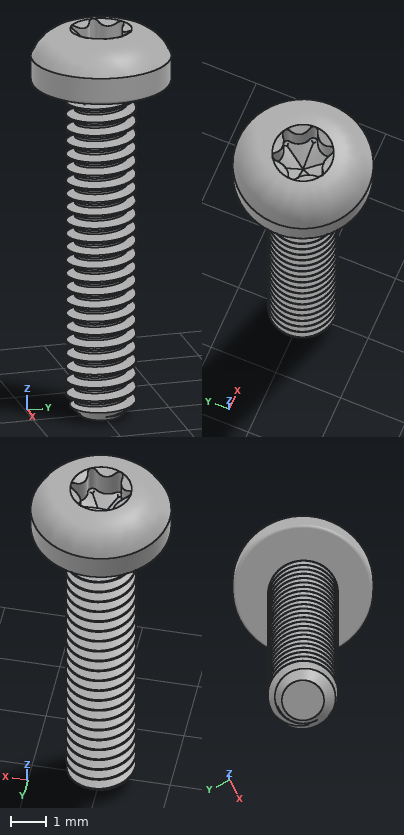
import cadquery as cq
import math

HEAD_RADIUS = 2.0
HEAD_HEIGHT = 1.6
RIM_HEIGHT = 0.8
RIM_FILLET = 0.1
DOME_ARC_RADIUS = 1.25

THREAD_RADIUS = 1.0
PITCH = 0.4
SHANK_LENGTH = 10.0
TIP_RADIUS = 0.6
FLANK_HALF_ANGLE = math.radians(30)
THREAD_START_ANGLE = 66.0

LOBES = 6
LOBE_TIP_RADIUS = 0.875
FLUTE_PEAK_RADIUS = 0.635
LOBE_ARC_RADIUS = 0.132
SOCKET_WALL_DEPTH = 0.83
SOCKET_FLOOR_SLOPE = math.radians(30)
COUNTERSINK_SLOPE = math.radians(30)

TRIANGLE_HEIGHT = PITCH / 2 / math.tan(FLANK_HALF_ANGLE)
THREAD_DEPTH = TRIANGLE_HEIGHT * 17 / 24
ROOT_RADIUS = THREAD_RADIUS - THREAD_DEPTH
CREST_FLAT = PITCH / 8
THREAD_OVERRUN = PITCH
SHANK_OVERLAP = PITCH / 2
CUT_MARGIN = 0.01

HALF_STEP = math.pi / LOBES
LOBE_CENTRE = LOBE_TIP_RADIUS - LOBE_ARC_RADIUS
LOBE_ALONG_FLUTE = LOBE_CENTRE * math.cos(HALF_STEP)
FLUTE_ARC_RADIUS = (
    (
        LOBE_CENTRE**2
        + FLUTE_PEAK_RADIUS**2
        - 2 * LOBE_ALONG_FLUTE * FLUTE_PEAK_RADIUS
        - LOBE_ARC_RADIUS**2
    )
    / (2 * (LOBE_ALONG_FLUTE + LOBE_ARC_RADIUS - FLUTE_PEAK_RADIUS))
)
FLUTE_CENTRE = FLUTE_PEAK_RADIUS + FLUTE_ARC_RADIUS
TANGENT_ANGLE = math.atan2(
    FLUTE_CENTRE * math.sin(HALF_STEP),
    FLUTE_CENTRE * math.cos(HALF_STEP) - LOBE_CENTRE,
)
SOCKET_FLOOR_Z = HEAD_HEIGHT - SOCKET_WALL_DEPTH


def polar(radius, angle):
    """Point at a radius and an angle (radians) from the screw axis."""
    return (radius * math.cos(angle), radius * math.sin(angle))


def cone(centre, z_base, radius, height):
    """Cone whose base circle is at z_base and whose apex is height above it (below if negative)."""
    profile = cq.Workplane("XZ").polyline([(0, 0), (radius, 0), (0, height)]).close()
    return profile.revolve(360, (0, 0), (0, 1)).translate((*centre, z_base))


def make_head():
    """Cylindrical rim under a domed top, as one revolved outline."""
    dome_rise = HEAD_HEIGHT - RIM_HEIGHT
    dome_run = HEAD_RADIUS - LOBE_TIP_RADIUS
    chord = math.hypot(dome_run, dome_rise)
    sagitta = DOME_ARC_RADIUS - math.sqrt(DOME_ARC_RADIUS**2 - (chord / 2) ** 2)
    dome_middle = (
        HEAD_RADIUS - dome_run / 2 + sagitta * dome_rise / chord,
        RIM_HEIGHT + dome_rise / 2 + sagitta * dome_run / chord,
    )
    outline = (
        cq.Workplane("XZ")
        .lineTo(HEAD_RADIUS, 0)
        .lineTo(HEAD_RADIUS, RIM_HEIGHT)
        .threePointArc(dome_middle, (LOBE_TIP_RADIUS, HEAD_HEIGHT))
        .lineTo(0, HEAD_HEIGHT)
        .close()
    )
    return outline.revolve(360, (0, 0), (0, 1)).faces("<Z").edges().fillet(RIM_FILLET)


def make_thread_ridge():
    """Right-handed helical ridge with 60 degree flanks, running past both shank ends."""
    bottom = -SHANK_LENGTH - THREAD_OVERRUN
    length = SHANK_LENGTH + THREAD_OVERRUN + SHANK_OVERLAP
    base_radius = ROOT_RADIUS - CUT_MARGIN
    crest_half = CREST_FLAT / 2
    base_half = crest_half + (THREAD_RADIUS - base_radius) * math.tan(FLANK_HALF_ANGLE)
    helix = cq.Wire.makeHelix(PITCH, length, THREAD_RADIUS)
    section = cq.Workplane("XZ").polyline([
        (base_radius, -base_half),
        (THREAD_RADIUS, -crest_half),
        (THREAD_RADIUS, crest_half),
        (base_radius, base_half),
    ]).close()
    ridge = section.sweep(cq.Workplane(helix), isFrenet=True)
    return ridge.rotate((0, 0, 0), (0, 0, 1), THREAD_START_ANGLE).translate((0, 0, bottom))


def tip_cutter():
    """Everything below the flat tip and outside its 45 degree chamfer cone."""
    reach = 2 * THREAD_RADIUS
    outline = cq.Workplane("XZ").polyline([
        (0, -SHANK_LENGTH - reach),
        (reach, -SHANK_LENGTH - reach),
        (reach, -SHANK_LENGTH + reach - TIP_RADIUS),
        (TIP_RADIUS, -SHANK_LENGTH),
        (0, -SHANK_LENGTH),
    ]).close()
    return outline.revolve(360, (0, 0), (0, 1))


def make_shank():
    """Root cylinder with the thread wound on it and a chamfered tip."""
    bottom = -SHANK_LENGTH - 2 * THREAD_OVERRUN
    top = 2 * SHANK_OVERLAP
    core = cq.Workplane("XY", origin=(0, 0, bottom)).circle(ROOT_RADIUS).extrude(top - bottom)
    return core.union(make_thread_ridge()).cut(tip_cutter())


def socket_walls():
    """Vertical hexalobular prism from the socket floor up past the head top."""
    tangent_x = LOBE_CENTRE + LOBE_ARC_RADIUS * math.cos(TANGENT_ANGLE)
    tangent_y = LOBE_ARC_RADIUS * math.sin(TANGENT_ANGLE)
    tangent_radius = math.hypot(tangent_x, tangent_y)
    tangent_angle = math.atan2(tangent_y, tangent_x)
    outline = cq.Workplane("XY", origin=(0, 0, SOCKET_FLOOR_Z))
    outline = outline.moveTo(*polar(tangent_radius, -tangent_angle))
    for index in range(LOBES):
        lobe = 2 * index * HALF_STEP
        flute = lobe + HALF_STEP
        next_lobe = lobe + 2 * HALF_STEP
        outline = outline.threePointArc(
            polar(LOBE_TIP_RADIUS, lobe), polar(tangent_radius, lobe + tangent_angle)
        ).threePointArc(
            polar(FLUTE_PEAK_RADIUS, flute), polar(tangent_radius, next_lobe - tangent_angle)
        )
    return outline.close().extrude(SOCKET_WALL_DEPTH + CUT_MARGIN)


def lobe_floor(lobe):
    """Wedge of an inverted cone under one lobe arc, reaching from tangent point to tangent point."""
    drop = LOBE_ARC_RADIUS * math.tan(SOCKET_FLOOR_SLOPE)
    sweep = math.degrees(2 * TANGENT_ANGLE)
    profile = cq.Workplane("XZ").polyline([(0, 0), (LOBE_ARC_RADIUS, 0), (0, -drop)]).close()
    wedge = profile.revolve(sweep, (0, 0), (0, 1)).rotate((0, 0, 0), (0, 0, 1), -sweep / 2)
    placed = wedge.translate((LOBE_CENTRE, 0, SOCKET_FLOOR_Z))
    return placed.rotate((0, 0, 0), (0, 0, 1), math.degrees(lobe))


def socket_floor():
    """Floor that slopes down evenly from every wall: flute cones meet along the lobe directions."""
    slope = math.tan(SOCKET_FLOOR_SLOPE)
    depth = FLUTE_PEAK_RADIUS * slope
    star = []
    for index in range(LOBES):
        lobe = 2 * index * HALF_STEP
        star.append(polar(LOBE_CENTRE, lobe))
        star.append(polar(FLUTE_CENTRE, lobe + HALF_STEP))
    floor = cq.Workplane("XY", origin=(0, 0, SOCKET_FLOOR_Z)).polyline(star).close().extrude(-depth)
    flute_base = SOCKET_FLOOR_Z - depth - CUT_MARGIN
    flute_height = FLUTE_ARC_RADIUS * slope + depth + CUT_MARGIN
    for index in range(LOBES):
        flute = polar(FLUTE_CENTRE, (2 * index + 1) * HALF_STEP)
        floor = floor.cut(cone(flute, flute_base, flute_height / slope, flute_height))
    for index in range(LOBES):
        floor = floor.union(lobe_floor(2 * index * HALF_STEP))
    return floor


def countersink():
    """Shallow cone that bevels the tops of the flutes."""
    height = LOBE_TIP_RADIUS * math.tan(COUNTERSINK_SLOPE)
    return cone((0, 0), HEAD_HEIGHT, LOBE_TIP_RADIUS, -height)


result = (
    make_head()
    .union(make_shank())
    .cut(socket_walls())
    .cut(socket_floor())
    .cut(countersink())
)